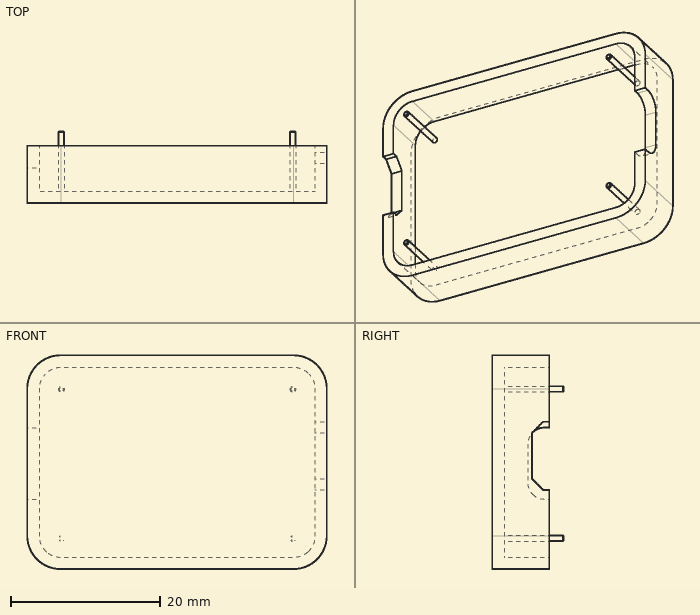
import cadquery as cq

length = 40.2
height = 28.7
total_depth = 9.6
pin_length = 1.93
body_depth = total_depth - pin_length
corner_radius = 4.5
wall = 1.6
rim_y = total_depth / 2 - pin_length
face_y = rim_y - body_depth

pin_diameter = 0.75
pin_chamfer = 0.12
pin_spacing_x = 31.05
pin_spacing_z = 20.0
pin_centre_z = -0.2

round_notch_top = 4.62
round_notch_bottom = -4.95
round_notch_depth = 2.95
round_notch_radius = 2.25

chamfered_notch_top = 5.43
chamfered_notch_bottom = -3.7
chamfered_notch_depth = 2.35
chamfered_notch_chamfer = 1.5


def rounded_block(size_x, size_z, depth, radius, start_y):
    """Block with rounded corners, running in +Y from start_y."""
    return (
        cq.Workplane("XY")
        .box(size_x, depth, size_z)
        .edges("|Y")
        .fillet(radius)
        .translate((0, start_y + depth / 2, 0))
    )


def notch_block(wall_x, bottom, top, depth):
    """Square-edged cutter crossing the wall centred on wall_x, open at the rim."""
    return (
        cq.Workplane("XY")
        .box(wall, depth, top - bottom)
        .translate((wall_x, rim_y - depth / 2, (top + bottom) / 2))
    )


def pin(x, z):
    """Pin with a chamfered tip, standing on the cavity floor."""
    full_length = total_depth - wall
    return (
        cq.Workplane("XZ", origin=(x, total_depth / 2, z))
        .circle(pin_diameter / 2)
        .extrude(full_length)
        .faces(">Y")
        .chamfer(pin_chamfer)
    )


body = rounded_block(length, height, body_depth, corner_radius, face_y)
cavity = rounded_block(
    length - 2 * wall,
    height - 2 * wall,
    body_depth - wall,
    corner_radius - wall,
    face_y + wall,
)
result = body.cut(cavity)

wall_centre_x = (length - wall) / 2
round_notch = notch_block(-wall_centre_x, round_notch_bottom, round_notch_top, round_notch_depth)
round_notch = round_notch.faces("<Y").edges("|X").fillet(round_notch_radius)
chamfered_notch = notch_block(
    wall_centre_x, chamfered_notch_bottom, chamfered_notch_top, chamfered_notch_depth
)
chamfered_notch = chamfered_notch.faces("<Y").edges("|X").chamfer(chamfered_notch_chamfer)
result = result.cut(round_notch).cut(chamfered_notch)

for side_x in (-1, 1):
    for side_z in (-1, 1):
        x = side_x * pin_spacing_x / 2
        z = pin_centre_z + side_z * pin_spacing_z / 2
        result = result.union(pin(x, z))